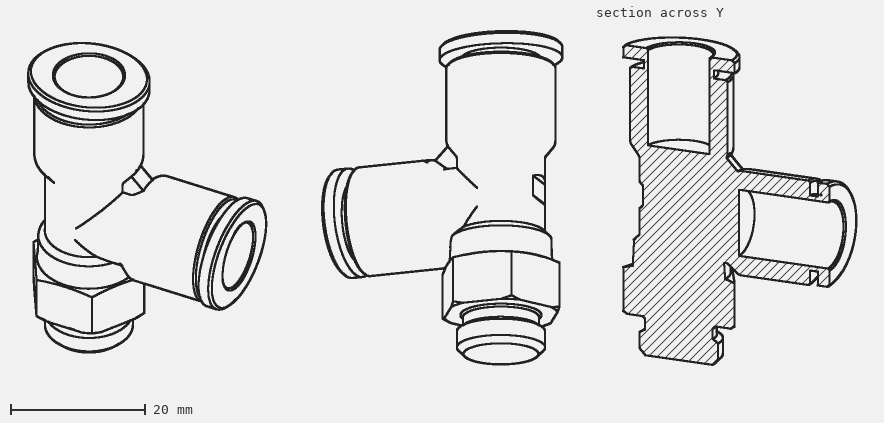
import cadquery as cq
import math

branch_z = 22.6

thread_radius = 6.55
thread_end_chamfer = 1.0
thread_top_z = 3.5
neck_radius = 5.65
neck_bottom_z = 4.08
neck_flare = 0.35

hex_across_flats = 16.0
hex_bottom_z = 6.0
hex_top_z = 13.6
hex_bottom_bevel_radius = 8.55
hex_bottom_bevel_angle = 30.0
hex_top_bevel_radius = 7.85
hex_top_bevel_angle = 17.0

shoulder_base_radius = 7.7
shoulder_radius = 7.52
shoulder_taper_top_z = 16.2
shoulder_rim_z = 17.65

stem_radius = 6.55
socket_radius = 8.12
cone_start = 8.0
cone_end = 10.0
cone_blend_radius = 1.0
socket_end = 21.8
socket_chamfer = 0.3

collar_neck_radius = 5.85
collar_start = 23.0
collar_end = 25.0
collar_length = 18.5
collar_width = 16.0
collar_chamfer = 0.4

bore_radius = 5.08
bore_chamfer = 0.27
bore_floor = 10.0

web_thickness = 3.0
web_outer = 10.2
web_inner = 7.5
web_root = 4.0

notch_depth = 0.53
notch_floor_length = 3.05
notch_center_z = 24.7

crossing = cq.Vector(0, 0, branch_z)


def revolve_about_z(profile):
    """Revolve a closed XZ profile a full turn about the Z axis."""
    return profile.close().revolve(360, (0, 0, 0), (0, 1, 0))


def make_socket():
    """Stem, blended cone and socket of one port, along +Z from the crossing."""
    cone_angle = math.atan2(socket_radius - stem_radius, cone_end - cone_start)
    blend_setback = cone_blend_radius * math.tan(cone_angle / 2)
    blend_along = cone_blend_radius * math.sin(cone_angle)
    blend_across = cone_blend_radius * (1 - math.cos(cone_angle))
    half_along = cone_blend_radius * math.sin(cone_angle / 2)
    half_across = cone_blend_radius * (1 - math.cos(cone_angle / 2))
    lower = cone_start - blend_setback
    upper = cone_end + blend_setback

    profile = (
        cq.Workplane("XZ")
        .moveTo(0, 0)
        .lineTo(stem_radius, 0)
        .lineTo(stem_radius, lower)
        .threePointArc(
            (stem_radius + half_across, lower + half_along),
            (stem_radius + blend_across, lower + blend_along),
        )
        .lineTo(socket_radius - blend_across, upper - blend_along)
        .threePointArc(
            (socket_radius - half_across, upper - half_along),
            (socket_radius, upper),
        )
        .lineTo(socket_radius, socket_end - socket_chamfer)
        .lineTo(socket_radius - socket_chamfer, socket_end)
        .lineTo(0, socket_end)
    )
    return revolve_about_z(profile)


def make_collar():
    """Elliptical release collar on a round neck; the long side lies along Y."""
    neck = (
        cq.Workplane("XY")
        .workplane(offset=bore_floor)
        .circle(collar_neck_radius)
        .extrude(collar_start - bore_floor)
    )
    flange = (
        cq.Workplane("XY")
        .workplane(offset=collar_start)
        .ellipse(collar_width / 2, collar_length / 2)
        .extrude(collar_end - collar_start)
        .faces(">Z")
        .edges()
        .chamfer(collar_chamfer)
    )
    return neck.union(flange)


def make_bore():
    """Tube bore with a bevelled mouth, as a solid to be cut away."""
    return revolve_about_z(
        cq.Workplane("XZ")
        .moveTo(0, bore_floor)
        .lineTo(bore_radius, bore_floor)
        .lineTo(bore_radius, collar_end - bore_chamfer)
        .lineTo(bore_radius + bore_chamfer, collar_end)
        .lineTo(0, collar_end)
    )


def place_upright(shape):
    """Put a port shape on the stem axis, its collar's long side along X."""
    return shape.rotate((0, 0, 0), (0, 0, 1), 90).translate(crossing)


def place_sideways(shape):
    """Put a port shape on the branch axis, pointing to +X."""
    return shape.rotate((0, 0, 0), (0, 1, 0), 90).translate(crossing)


def make_lower_stem():
    """Threaded end, neck, shoulder and stem up to the branch axis, without the hexagon."""
    return revolve_about_z(
        cq.Workplane("XZ")
        .moveTo(0, 0)
        .lineTo(thread_radius - thread_end_chamfer, 0)
        .lineTo(thread_radius, thread_end_chamfer)
        .lineTo(thread_radius, thread_top_z)
        .lineTo(neck_radius, neck_bottom_z)
        .lineTo(neck_radius, hex_bottom_z - neck_flare)
        .lineTo(neck_radius + neck_flare, hex_bottom_z)
        .lineTo(neck_radius + neck_flare, hex_top_z)
        .lineTo(shoulder_base_radius, hex_top_z)
        .lineTo(shoulder_radius, shoulder_taper_top_z)
        .lineTo(shoulder_radius, shoulder_rim_z)
        .lineTo(stem_radius, shoulder_rim_z + shoulder_radius - stem_radius)
        .lineTo(stem_radius, branch_z)
        .lineTo(0, branch_z)
    )


def make_hexagon():
    """Hexagon with two flats facing +Y and -Y, its corners bevelled at both ends."""
    corner_radius = hex_across_flats / 2 / math.cos(math.radians(30))
    bottom_drop = (corner_radius - hex_bottom_bevel_radius) * math.tan(math.radians(hex_bottom_bevel_angle))
    top_drop = (corner_radius - hex_top_bevel_radius) * math.tan(math.radians(hex_top_bevel_angle))
    prism = (
        cq.Workplane("XY")
        .workplane(offset=hex_bottom_z)
        .polygon(6, 2 * corner_radius)
        .extrude(hex_top_z - hex_bottom_z)
    )
    bevel_envelope = revolve_about_z(
        cq.Workplane("XZ")
        .moveTo(0, hex_bottom_z)
        .lineTo(hex_bottom_bevel_radius, hex_bottom_z)
        .lineTo(corner_radius, hex_bottom_z + bottom_drop)
        .lineTo(corner_radius, hex_top_z - top_drop)
        .lineTo(hex_top_bevel_radius, hex_top_z)
        .lineTo(0, hex_top_z)
    )
    return prism.intersect(bevel_envelope)


def make_web():
    """Flat web with a 45 degree outer edge, filling the corner between the ports."""
    return (
        cq.Workplane("XZ")
        .polyline([
            (web_root, web_root),
            (web_outer, web_root),
            (web_outer, web_inner),
            (web_inner, web_outer),
            (web_root, web_outer),
        ])
        .close()
        .extrude(web_thickness / 2, both=True)
        .translate(crossing)
    )


def make_notch():
    """Flat-bottomed notch with 45 degree ends, as a solid to be cut away."""
    half_floor = notch_floor_length / 2
    half_mouth = half_floor + notch_depth
    floor_x = notch_depth - stem_radius
    return (
        cq.Workplane("XZ")
        .polyline([
            (floor_x, notch_center_z - half_floor),
            (floor_x, notch_center_z + half_floor),
            (-stem_radius, notch_center_z + half_mouth),
            (-stem_radius, notch_center_z - half_mouth),
        ])
        .close()
        .extrude(stem_radius, both=True)
    )


port = make_socket().union(make_collar())
bore = make_bore()

upright_body = make_lower_stem().union(place_upright(port)).union(make_hexagon())

result = (
    upright_body
    .union(make_web())
    .union(place_sideways(port))
    .cut(make_notch())
    .cut(place_upright(bore))
    .cut(place_sideways(bore))
)